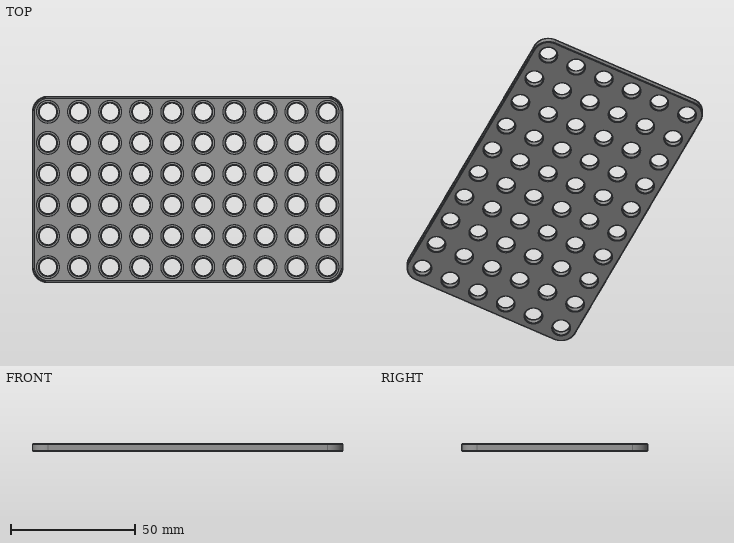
import cadquery as cq

PITCH = 12.5
COLUMNS = 10
ROWS = 6

LENGTH = COLUMNS * PITCH
WIDTH = ROWS * PITCH
THICKNESS = PITCH / 4
CORNER_RADIUS = PITCH / 2

HOLE_DIAMETER = 7.0

CHAMFER = 0.3

BORDER_WIDTH = 0.8
RING_DIAMETER = 9.2
FIELD_DEPTH = 0.2


def rounded_slab(inset, thickness):
    """Slab centred on the origin, its rounded outline set in from the plate outline."""
    slab = cq.Workplane("XY").box(LENGTH - 2 * inset, WIDTH - 2 * inset, thickness)
    return slab.edges("|Z").fillet(CORNER_RADIUS - inset)


def hole_grid(workplane):
    """Workplane with a point at the centre of every hole."""
    return workplane.rarray(PITCH, PITCH, COLUMNS, ROWS)


def drilled_plate():
    """Full-thickness plate with its holes, every edge of both faces chamfered."""
    holes = hole_grid(cq.Workplane("XY")).circle(HOLE_DIAMETER / 2).extrude(THICKNESS / 2, both=True)
    plate = rounded_slab(0, THICKNESS).cut(holes)
    return plate.faces("<Z or >Z").edges().chamfer(CHAMFER)


def top_field():
    """Volume removed from the top face: the area inside the border, minus the hole rings."""
    field_level = (THICKNESS - FIELD_DEPTH) / 2
    rings = hole_grid(cq.Workplane("XY")).circle(RING_DIAMETER / 2).extrude(FIELD_DEPTH / 2, both=True)
    field = rounded_slab(BORDER_WIDTH, FIELD_DEPTH).cut(rings)
    return field.translate((0, 0, field_level))


result = drilled_plate().cut(top_field())